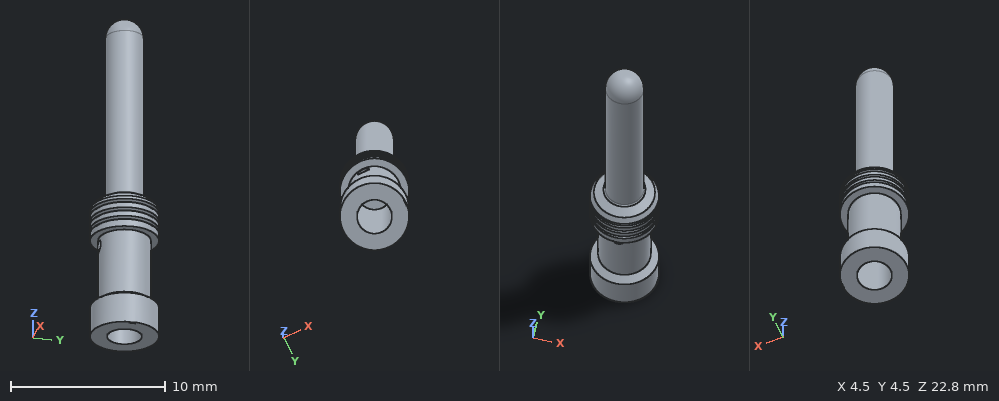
import cadquery as cq
import math

length = 22.8
body_diameter = 4.5
pin_diameter = 2.5
barrel_diameter = 3.45

foot_bottom = 0.07
foot_edge_height = 2.15
barrel_start = 2.49
collar_bottom = 6.95
collar_edge_height = 9.15

bevel_top_height = 9.48
bevel_top_diameter = 3.97
cone_top_height = 9.83
pin_fillet = 0.11

groove_count = 3
groove_pitch = 0.62
groove_width = 0.25
groove_root_diameter = 4.1
first_groove_height = 7.57

bore_diameter = 2.25
inspection_diameter = 0.8
inspection_height = 6.38

nib_width = 0.4
nib_thickness = 0.05

body_radius = body_diameter / 2
pin_radius = pin_diameter / 2
barrel_radius = barrel_diameter / 2
bevel_top_radius = bevel_top_diameter / 2
tip_start = length - pin_radius
bore_top = inspection_height + inspection_diameter / 2
half_diagonal = math.sqrt(0.5)


def turned_body():
    """Foot, barrel, collar and round-tipped pin as one revolved profile."""
    fillet_centre_radius = pin_radius + pin_fillet
    fillet_top_height = cone_top_height + pin_fillet
    fillet_middle = (
        fillet_centre_radius - pin_fillet * half_diagonal,
        fillet_top_height - pin_fillet * half_diagonal,
    )
    tip_middle = (pin_radius * half_diagonal, tip_start + pin_radius * half_diagonal)
    profile = (
        cq.Workplane("XZ")
        .moveTo(0, foot_bottom)
        .lineTo(body_radius, foot_bottom)
        .lineTo(body_radius, foot_edge_height)
        .lineTo(barrel_radius, barrel_start)
        .lineTo(barrel_radius, collar_bottom)
        .lineTo(body_radius, collar_bottom)
        .lineTo(body_radius, collar_edge_height)
        .lineTo(bevel_top_radius, bevel_top_height)
        .lineTo(fillet_centre_radius, cone_top_height)
        .threePointArc(fillet_middle, (pin_radius, fillet_top_height))
        .lineTo(pin_radius, tip_start)
        .threePointArc(tip_middle, (0, length))
        .close()
    )
    return profile.revolve(360, (0, 0), (0, 1))


def v_groove(height):
    """Ring with a triangular section pointing at the axis, centred on the given height."""
    section = (
        cq.Workplane("XZ")
        .moveTo(groove_root_diameter / 2, height)
        .lineTo(body_radius, height - groove_width / 2)
        .lineTo(body_radius, height + groove_width / 2)
        .close()
    )
    return section.revolve(360, (0, 0), (0, 1))


def wire_bore():
    """Blind bore from below, ending level with the top of the inspection hole."""
    return cq.Workplane("XY").circle(bore_diameter / 2).extrude(bore_top)


def inspection_hole():
    """Radial hole from the -Y side of the barrel into the bore."""
    return (
        cq.Workplane("XZ")
        .center(0, inspection_height)
        .circle(inspection_diameter / 2)
        .extrude(body_radius)
    )


def rim_nib():
    """Nib on the +X side that continues the foot's outer wall down past its bottom face."""
    ring = (
        cq.Workplane("XY")
        .circle(body_radius)
        .circle(body_radius - nib_thickness)
        .extrude(foot_edge_height)
    )
    sector = cq.Workplane("XY").box(
        body_radius, nib_width, foot_edge_height, centered=(False, True, False)
    )
    return ring.intersect(sector)


result = turned_body().union(rim_nib())
for index in range(groove_count):
    result = result.cut(v_groove(first_groove_height + index * groove_pitch))
result = result.cut(wire_bore()).cut(inspection_hole())